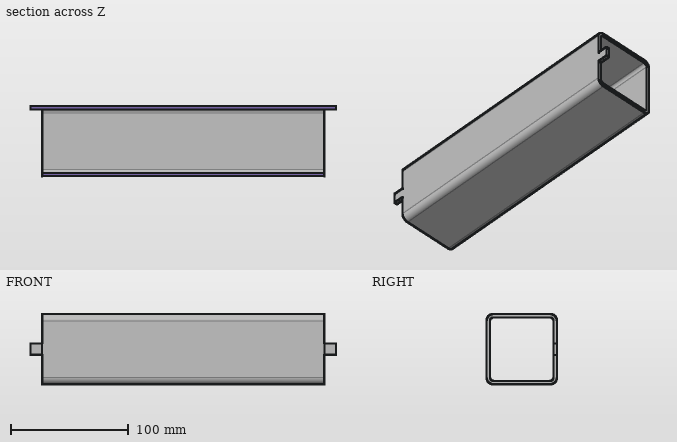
import cadquery as cq

overall_length = 260.0
tab_length = 10.0
tab_height = 10.0
tube_side = 60.0
wall = 3.0
outer_radius = 6.0

tube_length = overall_length - 2 * tab_length
bore_side = tube_side - 2 * wall
inner_radius = outer_radius - wall


def rounded_bar(side, corner_radius):
    """Square bar along X, centred on the origin, with rounded long edges."""
    return cq.Workplane("XY").box(tube_length, side, side).edges("|X").fillet(corner_radius)


tube = rounded_bar(tube_side, outer_radius).cut(rounded_bar(bore_side, inner_radius))

wall_center_y = (tube_side - wall) / 2
tab_strip = (
    cq.Workplane("XY")
    .box(overall_length, wall, tab_height)
    .translate((0, wall_center_y, 0))
)

result = tube.union(tab_strip)